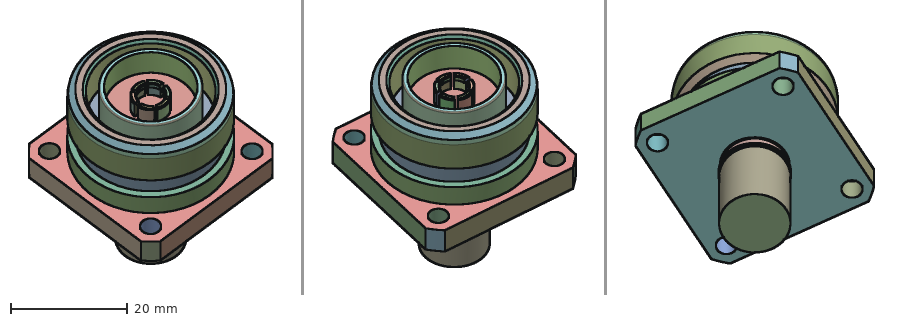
import cadquery as cq

total_height = 38.7
barrel_edge_z = 14.5
collar_bottom_z = 14.7
collar_top_z = 15.2
neck_top_z = 17.03
flange_bottom_z = 17.22
flange_top_z = 22.18
base_ring_top_z = 26.25
groove_top_z = 29.7
shell_lower_z = 30.57
shell_taper_z = 36.15
shell_chamfer_z = 37.15
shell_top_z = 38.05
annulus_floor_z = 30.38
cup_floor_z = 33.45
contact_top_z = 36.75

flange_width = 32.0
flange_corner_radius = 21.0
screw_hole_diameter = 3.65
screw_hole_spacing = 24.7

barrel_radius = 6.15
collar_radius = 6.27
neck_radius = 5.92
flare_radius = 6.05

shell_radius = 14.4
shell_taper_radius = 14.25
shell_rim_radius = 13.0
groove_radius = 13.0
shell_bore_radius = 11.2
shell_bore_chamfer = 0.55

sleeve_outer_radius = 8.95
sleeve_inner_radius = 8.05
sleeve_rim_fillet = 0.25

contact_outer_radius = 3.52
contact_bore_radius = 2.5
contact_chamfer = 0.2
contact_relief_radius = 2.85
contact_lip_bottom_z = 35.75
wide_slot_width = 0.8
narrow_slot_width = 0.55
contact_slots = [(0, wide_slot_width), (60, narrow_slot_width), (120, narrow_slot_width)]


def revolve_outline(points):
    """Turn a (radius, height) outline around the Z axis."""
    return cq.Workplane("XZ").polyline(points).close().revolve(360, (0, 0), (0, 1))


def make_flange():
    """Square plate with corners trimmed to a round, and four screw holes."""
    thickness = flange_top_z - flange_bottom_z
    base = cq.Workplane("XY").workplane(offset=flange_bottom_z)
    corner_round = base.circle(flange_corner_radius).extrude(thickness)
    return (
        base.rect(flange_width, flange_width)
        .extrude(thickness)
        .intersect(corner_round)
        .faces(">Z")
        .workplane()
        .rect(screw_hole_spacing, screw_hole_spacing, forConstruction=True)
        .vertices()
        .hole(screw_hole_diameter)
    )


def make_tail():
    """Barrel, thin tapered collar and flared neck below the flange."""
    return revolve_outline([
        (0, 0),
        (barrel_radius, 0),
        (barrel_radius, barrel_edge_z),
        (flare_radius, barrel_edge_z),
        (collar_radius, collar_bottom_z),
        (collar_radius, collar_top_z),
        (neck_radius, collar_top_z),
        (neck_radius, neck_top_z),
        (flare_radius, flange_bottom_z),
        (0, flange_bottom_z),
    ])


def make_shell():
    """Grooved outer shell with a chamfered bore."""
    return revolve_outline([
        (0, flange_top_z),
        (shell_radius, flange_top_z),
        (shell_radius, base_ring_top_z),
        (groove_radius, base_ring_top_z),
        (groove_radius, groove_top_z),
        (shell_radius, shell_lower_z),
        (shell_radius, shell_taper_z),
        (shell_taper_radius, shell_chamfer_z),
        (shell_rim_radius, shell_top_z),
        (shell_bore_radius + shell_bore_chamfer, shell_top_z),
        (shell_bore_radius, shell_top_z - shell_bore_chamfer),
        (shell_bore_radius, annulus_floor_z),
        (0, annulus_floor_z),
    ])


def make_sleeve():
    """Cup-shaped sleeve with a rounded outer rim, rising from the annular floor of the shell."""
    sleeve = (
        cq.Workplane("XY")
        .workplane(offset=annulus_floor_z)
        .circle(sleeve_outer_radius)
        .extrude(total_height - annulus_floor_z)
        .faces(">Z")
        .edges()
        .fillet(sleeve_rim_fillet)
    )
    cup = (
        cq.Workplane("XY")
        .workplane(offset=cup_floor_z)
        .circle(sleeve_inner_radius)
        .extrude(total_height - cup_floor_z)
    )
    return sleeve.cut(cup)


def make_contact():
    """Hollow contact with an inner lip, split into six fingers by radial slots."""
    contact = revolve_outline([
        (contact_relief_radius, cup_floor_z),
        (contact_outer_radius, cup_floor_z),
        (contact_outer_radius, contact_top_z - contact_chamfer),
        (contact_outer_radius - contact_chamfer, contact_top_z),
        (contact_bore_radius + contact_chamfer, contact_top_z),
        (contact_bore_radius, contact_top_z - contact_chamfer),
        (contact_bore_radius, contact_lip_bottom_z),
        (contact_relief_radius, contact_lip_bottom_z),
    ])
    for angle, width in contact_slots:
        slot = (
            cq.Workplane("XY")
            .workplane(offset=cup_floor_z)
            .rect(width, 2 * sleeve_inner_radius)
            .extrude(contact_top_z - cup_floor_z)
            .rotate((0, 0, 0), (0, 0, 1), angle)
        )
        contact = contact.cut(slot)
    return contact


result = (
    make_tail()
    .union(make_flange())
    .union(make_shell())
    .union(make_sleeve())
    .union(make_contact())
)